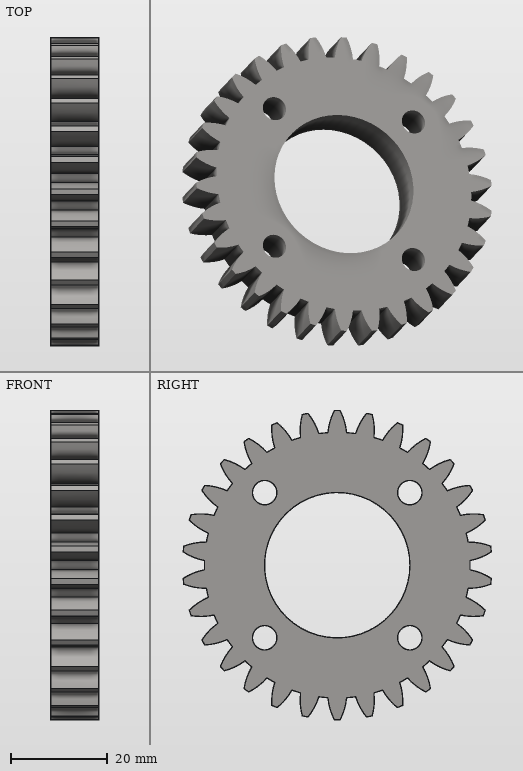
import cadquery as cq
import math

outer_diameter = 64.0
tooth_count = 30
addendum_factor = 1.0
dedendum_factor = 1.25
face_width = 10.0

bore_diameter = 30.0
bolt_hole_diameter = 5.0
bolt_hole_spacing = 30.0

root_thickness = 3.9
pitch_thickness = 2.9
tip_thickness = 1.2

module = outer_diameter / (tooth_count + 2 * addendum_factor)
outer_radius = outer_diameter / 2
pitch_radius = outer_radius - addendum_factor * module
root_radius = pitch_radius - dedendum_factor * module
tooth_pitch_angle = 2 * math.pi / tooth_count

root_half_angle = root_thickness / (2 * root_radius)
pitch_half_angle = pitch_thickness / (2 * pitch_radius)
tip_half_angle = tip_thickness / (2 * outer_radius)


def polar(radius, angle):
    """Point at an angle turned from +Z (local y) toward +Y (local x)."""
    return (radius * math.sin(angle), radius * math.cos(angle))


def gear_outline():
    """Closed outline: per tooth a rising flank, tip, falling flank and root, all arcs."""
    plane = cq.Workplane("YZ", origin=(-face_width / 2, 0, 0))
    outline = plane.moveTo(*polar(root_radius, -root_half_angle))
    for tooth in range(tooth_count):
        centre = tooth * tooth_pitch_angle
        next_centre = centre + tooth_pitch_angle
        outline = (
            outline.threePointArc(
                polar(pitch_radius, centre - pitch_half_angle),
                polar(outer_radius, centre - tip_half_angle),
            )
            .threePointArc(
                polar(outer_radius, centre),
                polar(outer_radius, centre + tip_half_angle),
            )
            .threePointArc(
                polar(pitch_radius, centre + pitch_half_angle),
                polar(root_radius, centre + root_half_angle),
            )
            .threePointArc(
                polar(root_radius, centre + tooth_pitch_angle / 2),
                polar(root_radius, next_centre - root_half_angle),
            )
        )
    return outline.close()


gear_blank = gear_outline().extrude(face_width)

bored_gear = (
    gear_blank.faces(">X")
    .workplane(origin=(0, 0, 0))
    .circle(bore_diameter / 2)
    .cutThruAll()
)

result = (
    bored_gear.faces(">X")
    .workplane(origin=(0, 0, 0))
    .rect(bolt_hole_spacing, bolt_hole_spacing, forConstruction=True)
    .vertices()
    .circle(bolt_hole_diameter / 2)
    .cutThruAll()
)